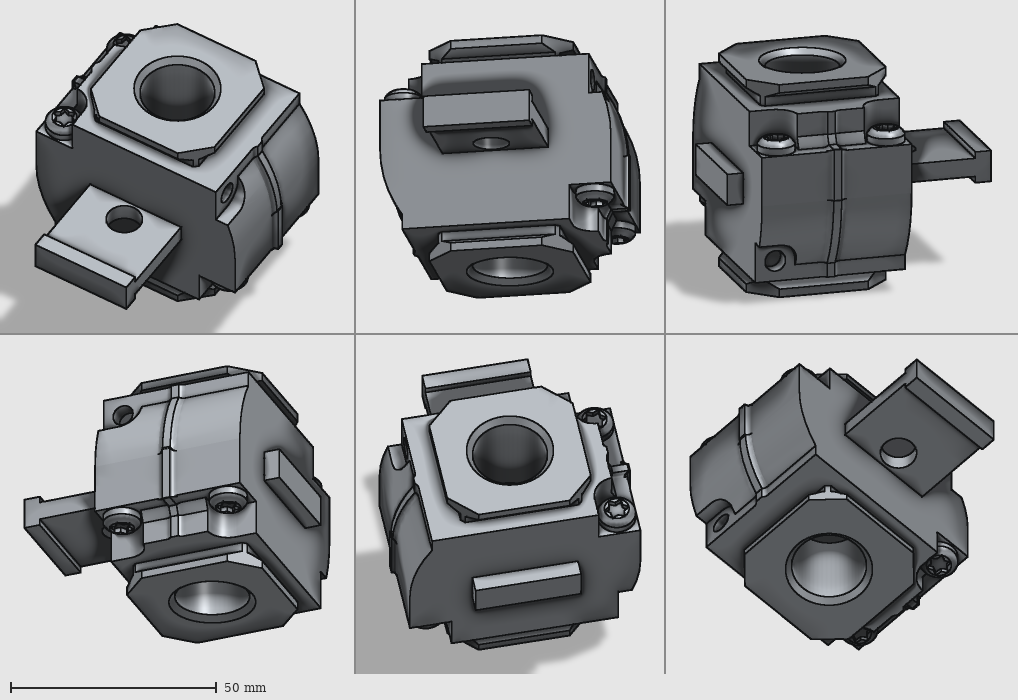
import cadquery as cq
import math


body_half_y = 19.0
body_half_z = 21.05
total_width = 59.0
lobe_x = 28.55
lobe_radius = 30.0
lower_wall_x = 23.05
step_z = 12.3
upper_wall_x = 23.45
slope_foot_x = 24.8
slope_height = 2.9

flange_half = 17.75
flange_corner = 6.5
flange_rim = 2.1
flange_taper = 1.55
neck_half = 15.0
end_half_z = 27.0

bore_diameter = 18.15
bore_mouth_diameter = 21.1

rib_top_half = 1.0
rib_foot_half = 2.35
rib_height = 0.7
right_rib_overlap = 0.95

screw_x = 23.65
screw_y = 13.95
pocket_radius = 5.4
head_radius = 4.6
head_rim_height = 1.8
head_height = 3.35
head_dome_bulge = 0.2
socket_tip_radius = 3.0
socket_valley_radius = 1.95
socket_points = 6
socket_depth = 1.35

notch_radius = 4.95
notch_z = 15.95
notch_hole_diameter = 5.15
notch_hole_depth = 4.0

slide_width = 26.1
slide_plate_thickness = 4.6
slide_bar_thickness = 7.85
slide_bar_length = 4.0
slide_length = 67.0
slide_hole_diameter = 8.8
slide_hole_y = -24.2

lobe_center_x = lobe_radius - lobe_x
lobe_end_z = math.sqrt(lobe_radius**2 - (lower_wall_x + lobe_center_x) ** 2)
lobe_mid_angle = math.asin(lobe_end_z / lobe_radius) / 2
lobe_mid = (
    lobe_center_x - lobe_radius * math.cos(lobe_mid_angle),
    -lobe_radius * math.sin(lobe_mid_angle),
)
total_half_x = total_width / 2
raised_rib_height = total_half_x - lobe_x
slide_rear_y = body_half_y + slide_bar_length
slide_front_y = slide_rear_y - slide_length


def box(x_range, y_range, z_range):
    """Axis-aligned box given by its limits along X, Y and Z."""
    (x0, x1), (y0, y1), (z0, z1) = x_range, y_range, z_range
    return cq.Workplane("XY").box(x1 - x0, y1 - y0, z1 - z0, centered=False).translate((x0, y0, z0))


def half_turn(shape):
    """The shape turned by 180 degrees about the Y axis."""
    return shape.rotate((0, 0, 0), (0, 1, 0), 180)


def side_wall(start):
    """Left side wall in the XZ plane, from a started sketch at its bottom end to its top end."""
    return (
        start.lineTo(-lower_wall_x, -lobe_end_z)
        .threePointArc(lobe_mid, (-lobe_x, 0))
        .lineTo(-lobe_x, step_z)
        .lineTo(-slope_foot_x, step_z)
        .lineTo(-upper_wall_x, step_z + slope_height)
        .lineTo(-upper_wall_x, body_half_z)
    )


def half_block():
    """Left half of the plain block, up to the plane X = 0."""
    start = cq.Workplane("XZ").moveTo(0, -body_half_z).lineTo(-lower_wall_x, -body_half_z)
    return side_wall(start).lineTo(0, body_half_z).close().extrude(body_half_y, both=True)


def rib_section(plane, height, wall_x):
    """Rib cross-section on the left wall: flat top, concave flanks, rooted into the wall."""
    root_x = -(wall_x - rib_height)
    top_x = -(wall_x + height)
    flank_width = rib_foot_half - rib_top_half
    flank_radius = (flank_width**2 + height**2) / (2 * height)
    half_angle = math.asin(flank_width / flank_radius) / 2
    mid_y = rib_foot_half - flank_radius * math.sin(half_angle)
    mid_x = -wall_x - flank_radius * (1 - math.cos(half_angle))
    return (
        plane.moveTo(root_x, -rib_foot_half)
        .lineTo(-wall_x, -rib_foot_half)
        .threePointArc((mid_x, -mid_y), (top_x, -rib_top_half))
        .lineTo(top_x, rib_top_half)
        .threePointArc((mid_x, mid_y), (-wall_x, rib_foot_half))
        .lineTo(root_x, rib_foot_half)
        .close()
    )


def wall_rib():
    """Rib that follows the whole side wall from end to end."""
    path = side_wall(cq.Workplane("XZ").moveTo(-lower_wall_x, -body_half_z))
    bottom = cq.Workplane("XY", origin=(0, 0, -body_half_z))
    return rib_section(bottom, rib_height, lower_wall_x).sweep(path, transition="right")


def raised_rib(overlap):
    """Higher rib along the flat of the lobe; its lower end slants by the given overlap."""
    root_x = -lobe_x + rib_height
    top_z = step_z + rib_height
    base = cq.Workplane("XY", origin=(0, 0, -overlap))
    bar = rib_section(base, raised_rib_height, lobe_x).extrude(top_z + overlap)
    side_outline = (
        cq.Workplane("XZ")
        .moveTo(root_x, 0)
        .lineTo(-lobe_x, 0)
        .lineTo(-total_half_x, -overlap)
        .lineTo(-total_half_x, top_z)
        .lineTo(root_x, step_z)
        .close()
        .extrude(rib_foot_half, both=True)
    )
    return bar.intersect(side_outline)


def screw_pocket(side):
    """Clearance above the ledge around one screw head; side is the sign of its Y."""
    inner_x = -screw_x + pocket_radius
    inner_y = screw_y - pocket_radius
    pocket = box((-total_half_x, inner_x), (inner_y, body_half_y), (step_z, body_half_z))
    pocket = pocket.edges("|Z and >X and <Y").fillet(pocket_radius)
    return pocket if side > 0 else pocket.mirror("XZ")


def hole_notch(side):
    """Rounded notch in the lobe with its blind hole along X; side is the sign of its Y."""
    notch = box(
        (-total_half_x, -lower_wall_x),
        (screw_y - notch_radius, body_half_y),
        (-body_half_z, -notch_z + notch_radius),
    )
    notch = notch.edges("|X and <Y and >Z").fillet(notch_radius)
    hole = (
        cq.Workplane("YZ", origin=(-lower_wall_x, screw_y, -notch_z))
        .circle(notch_hole_diameter / 2)
        .extrude(notch_hole_depth)
    )
    cutter = notch.union(hole)
    return cutter if side > 0 else cutter.mirror("XZ")


def housing_half(notch_side, rib_overlap):
    """Left half of the housing with its ribs, screw pockets and notch."""
    half = half_block().union(wall_rib()).union(raised_rib(rib_overlap))
    for side in (-1, 1):
        half = half.cut(screw_pocket(side))
    return half.cut(hole_notch(notch_side))


def end_flange():
    """Upper square flange: neck, taper and rim with cut corners."""
    rim_z = end_half_z - flange_rim
    taper_z = rim_z - flange_taper
    neck = cq.Workplane("XY").rect(2 * neck_half, 2 * neck_half).extrude(taper_z)
    taper = (
        cq.Workplane("XY", origin=(0, 0, taper_z))
        .rect(2 * neck_half, 2 * neck_half)
        .workplane(offset=flange_taper)
        .rect(2 * flange_half, 2 * flange_half)
        .loft(ruled=True)
    )
    rim = (
        cq.Workplane("XY", origin=(0, 0, rim_z))
        .rect(2 * flange_half, 2 * flange_half)
        .extrude(flange_rim)
    )
    corner_cut = (
        cq.Workplane("XY")
        .rect(2 * flange_half, 2 * flange_half)
        .extrude(end_half_z)
        .edges("|Z")
        .chamfer(flange_corner)
    )
    return neck.union(taper).union(rim).intersect(corner_cut)


def bore():
    """Through bore along Z with a 45 degree mouth at both ends."""
    mouth_depth = (bore_mouth_diameter - bore_diameter) / 2
    return (
        cq.Workplane("XZ")
        .moveTo(0, -end_half_z)
        .lineTo(bore_mouth_diameter / 2, -end_half_z)
        .lineTo(bore_diameter / 2, -end_half_z + mouth_depth)
        .lineTo(bore_diameter / 2, end_half_z - mouth_depth)
        .lineTo(bore_mouth_diameter / 2, end_half_z)
        .lineTo(0, end_half_z)
        .close()
        .revolve(360, (0, 0, 0), (0, 1, 0))
    )


def slide_plate(y_range):
    """Flat plate of the slide between two Y positions."""
    half_width = slide_width / 2
    half_thickness = slide_plate_thickness / 2
    return box((-half_width, half_width), y_range, (-half_thickness, half_thickness))


def make_housing():
    left_half = housing_half(notch_side=1, rib_overlap=0)
    right_half = half_turn(housing_half(notch_side=-1, rib_overlap=right_rib_overlap))
    housing = left_half.union(right_half)
    flange = end_flange()
    housing = housing.union(flange).union(half_turn(flange))
    housing = housing.cut(bore())
    return housing.cut(slide_plate((-body_half_y, body_half_y)))


def slide_bar(start_y):
    """Thick cross bar at one end of the slide."""
    half_width = slide_width / 2
    half_thickness = slide_bar_thickness / 2
    y_range = (start_y, start_y + slide_bar_length)
    return box((-half_width, half_width), y_range, (-half_thickness, half_thickness))


def make_slide():
    slide = slide_plate((slide_front_y, slide_rear_y))
    slide = slide.union(slide_bar(slide_front_y)).union(slide_bar(body_half_y))
    hole = (
        cq.Workplane("XY", origin=(0, slide_hole_y, -slide_plate_thickness / 2))
        .circle(slide_hole_diameter / 2)
        .extrude(slide_plate_thickness)
    )
    return slide.cut(hole)


def star_socket():
    """Six-pointed star recess, sunk from the top of the screw head."""
    step_angle = math.pi / socket_points
    corners = []
    for index in range(2 * socket_points):
        radius = socket_valley_radius if index % 2 else socket_tip_radius
        angle = index * step_angle
        corners.append((radius * math.cos(angle), radius * math.sin(angle)))
    top = cq.Workplane("XY", origin=(0, 0, head_height))
    return top.polyline(corners).close().extrude(-socket_depth)


def make_screw():
    """Domed screw head standing on the XY plane."""
    head = (
        cq.Workplane("XZ")
        .lineTo(head_radius, 0)
        .lineTo(head_radius, head_rim_height)
        .sagittaArc((socket_tip_radius, head_height), -head_dome_bulge)
        .lineTo(0, head_height)
        .close()
        .revolve(360, (0, 0, 0), (0, 1, 0))
    )
    return head.cut(star_socket())


def make_screws():
    """Two screws on the upper ledge and two on the lower ledge."""
    screws = []
    for side in (-1, 1):
        screw = make_screw().translate((-screw_x, side * screw_y, step_z))
        screws += [screw.val(), half_turn(screw).val()]
    return screws


housing = make_housing()
slide = make_slide()
screws = make_screws()

result = cq.Compound.makeCompound([housing.val(), slide.val(), *screws])